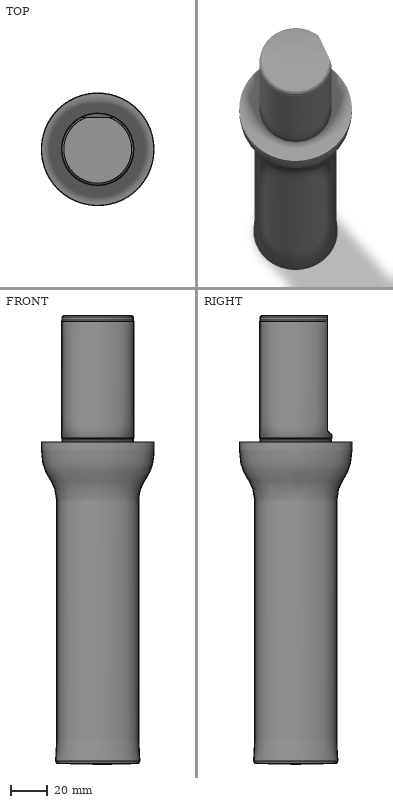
import cadquery as cq
import math

total_height = 249.0
flange_top_z = 178.8

shank_radius = 45.5 / 2
flange_radius = 62.5 / 2
flange_rim_height = 4.2
bell_height = 28.5
bell_waist_radius = 29.1
bell_waist_drop = 11.7
foot_top_z = 14.0
foot_radius = 23.5
foot_bottom_z = 1.7
foot_chamfer_width = 0.7
end_dome_height = 0.5

pin_radius = 40.0 / 2
neck_radius = 39.5 / 2
lower_neck_height = 1.5
upper_neck_height = 2.7
shoulder_height = 0.7
pin_end_chamfer = 1.0

flat_y = 17.7
ramp_bottom_z = 182.5

DOWN = (0, -1)


def make_handle():
    bell_top_z = flange_top_z - flange_rim_height
    bell_bottom_z = bell_top_z - bell_height
    bell_waist = (bell_waist_radius, bell_top_z - bell_waist_drop)
    bell_end = (shank_radius, bell_bottom_z)
    foot_end = (foot_radius, foot_bottom_z)
    dome_edge_radius = foot_radius - foot_chamfer_width

    profile = (
        cq.Workplane("XZ")
        .moveTo(0, flange_top_z)
        .lineTo(flange_radius, flange_top_z)
        .lineTo(flange_radius, bell_top_z)
        .spline([bell_waist, bell_end], tangents=[DOWN, DOWN], includeCurrent=True)
        .lineTo(shank_radius, foot_top_z)
        .spline([foot_end], tangents=[DOWN, DOWN], includeCurrent=True)
        .lineTo(dome_edge_radius, end_dome_height)
    )
    dome_radius = (dome_edge_radius**2 + end_dome_height**2) / (2 * end_dome_height)
    dome_mid_radius = dome_edge_radius / 2
    dome_mid_z = dome_radius - math.sqrt(dome_radius**2 - dome_mid_radius**2)
    profile = profile.threePointArc((dome_mid_radius, dome_mid_z), (0, 0)).close()
    return profile.revolve(360, (0, 0, 0), (0, 1, 0))


def make_pin_flat_cutter():
    ramp_run = pin_radius - flat_y
    return (
        cq.Workplane("YZ")
        .moveTo(pin_radius, ramp_bottom_z)
        .lineTo(flat_y, ramp_bottom_z + ramp_run)
        .lineTo(flat_y, total_height)
        .lineTo(pin_radius, total_height)
        .close()
        .extrude(pin_radius, both=True)
    )


def make_pin():
    lower_shoulder_z = flange_top_z + lower_neck_height
    upper_shoulder_z = total_height - upper_neck_height
    turned = (
        cq.Workplane("XZ")
        .moveTo(0, flange_top_z)
        .lineTo(neck_radius, flange_top_z)
        .lineTo(neck_radius, lower_shoulder_z)
        .lineTo(pin_radius, lower_shoulder_z + shoulder_height)
        .lineTo(pin_radius, upper_shoulder_z - shoulder_height)
        .lineTo(neck_radius, upper_shoulder_z)
        .lineTo(neck_radius, total_height - pin_end_chamfer)
        .lineTo(neck_radius - pin_end_chamfer, total_height)
        .lineTo(0, total_height)
        .close()
        .revolve(360, (0, 0, 0), (0, 1, 0))
    )
    return turned.cut(make_pin_flat_cutter())


handle = make_handle()
pin = make_pin()

result = cq.Compound.makeCompound([handle.val(), pin.val()])